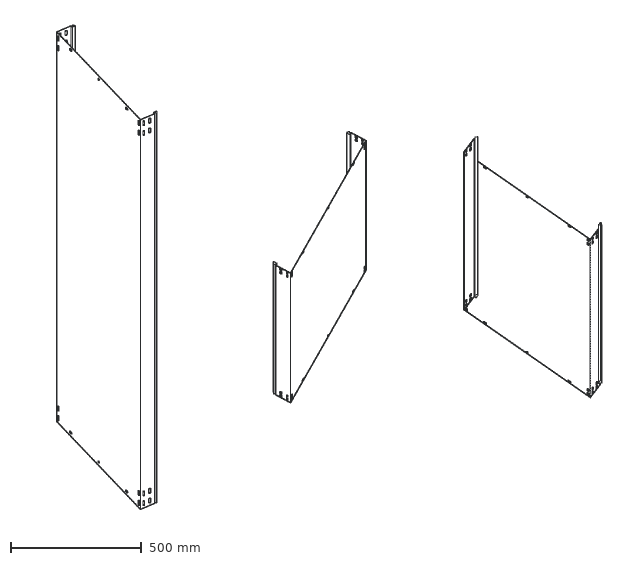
import cadquery as cq

width = 600.0
depth = 80.0
height = 2000.0
sheet = 2.0

bead_depth = 10.0
bead_length = 15.0
notch_depth = 5.0
notch_rise = 3.5
ridge_start = 7.2
ridge_end = 5.5
rear_slope_depth = 6.5

slot_pitch = 50.0
end_offset = slot_pitch / 2
front_slot_length = 25.0
front_slot_width = 8.0
front_slot_inset = 12.0
side_slot_length = 25.0
wide_slot_width = 10.0
wide_slot_y = 3.0
narrow_slot_width = 5.0
narrow_slot_y = -25.0

edge_inset = 18.0
edge_hole_diameter = 8.0
edge_slot_length = 15.0
edge_slot_x = 200.0

half_width = width / 2
half_depth = depth / 2
half_height = height / 2


def make_panel():
    """Folded channel: front plate and two side walls, each with a rear bead."""
    wall_inside = half_width - sheet
    bead_inside = half_width - bead_depth
    bead_front = half_depth - bead_length
    right_half = [
        (half_width, -half_depth),
        (half_width, bead_front),
        (half_width - notch_depth, bead_front + notch_rise),
        (half_width, half_depth - ridge_start),
        (half_width, half_depth - ridge_end),
        (half_width - rear_slope_depth, half_depth),
        (bead_inside, half_depth),
        (bead_inside, bead_front),
        (wall_inside, bead_front),
        (wall_inside, -half_depth + sheet),
    ]
    left_half = [(-x, y) for x, y in reversed(right_half)]
    base = cq.Workplane("XY").workplane(offset=-half_height)
    return base.polyline(right_half + left_half).close().extrude(height)


def slot_heights():
    """Z of the slot rows: two at the top and two at the bottom."""
    outer_row = half_height - end_offset
    inner_row = outer_row - slot_pitch
    return [outer_row, inner_row, -inner_row, -outer_row]


def side_slots(length, slot_width, y):
    """Cutters for upright slots through both side walls."""
    points = [(y, z) for z in slot_heights()]
    plane = cq.Workplane("YZ").pushPoints(points)
    return plane.slot2D(length, slot_width, 90).extrude(half_width, both=True)


def front_points(points):
    """Points on the outer face of the front plate, given as (x, z)."""
    return cq.Workplane("XZ", origin=(0, -half_depth, 0)).pushPoints(points)


def front_slots():
    """Cutters for upright slots near both sides of the front plate."""
    x = half_width - front_slot_inset
    points = [(side_x, z) for side_x in (-x, x) for z in slot_heights()]
    slots = front_points(points).slot2D(front_slot_length, front_slot_width, 90)
    return slots.extrude(-sheet)


def edge_openings():
    """Cutters for the centre holes and level slots near the top and bottom edges."""
    z = half_height - edge_inset
    rows = (-z, z)
    hole_points = [(0, row) for row in rows]
    slot_points = [(x, row) for x in (-edge_slot_x, edge_slot_x) for row in rows]
    holes = front_points(hole_points).circle(edge_hole_diameter / 2).extrude(-sheet)
    slots = front_points(slot_points).slot2D(edge_slot_length, edge_hole_diameter)
    return holes.union(slots.extrude(-sheet))


result = (
    make_panel()
    .cut(side_slots(side_slot_length, wide_slot_width, wide_slot_y))
    .cut(side_slots(side_slot_length, narrow_slot_width, narrow_slot_y))
    .cut(front_slots())
    .cut(edge_openings())
)